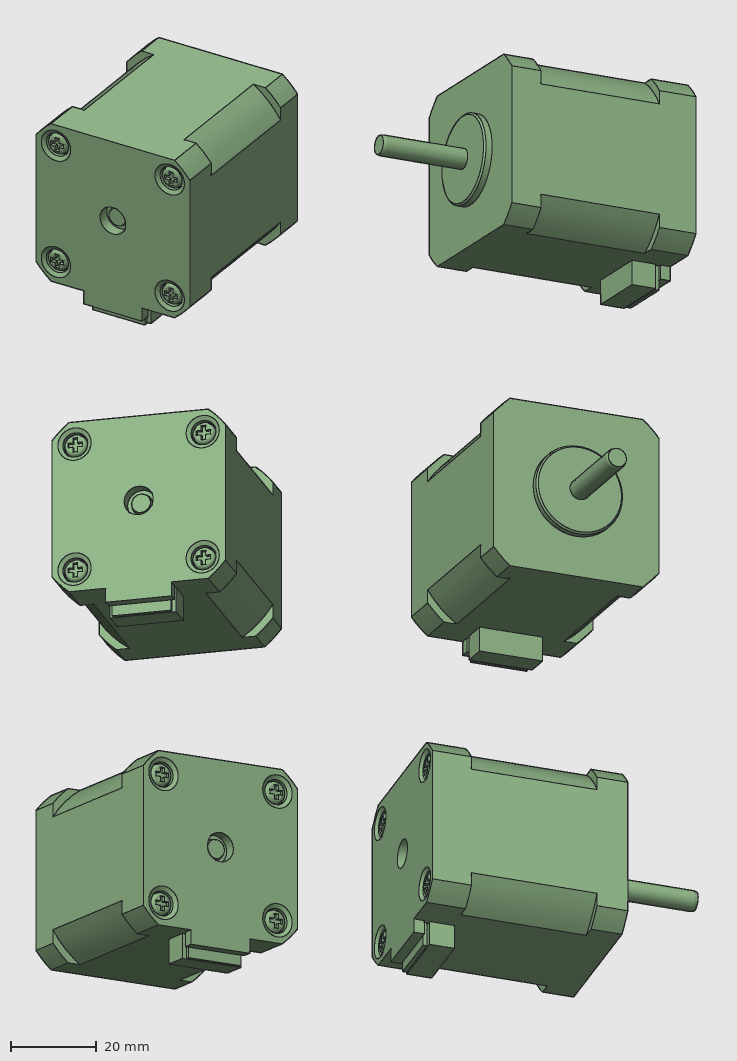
import cadquery as cq


body_width = 42.0
front_cap_length = 7.65
stator_length = 31.0
rear_cap_length = 9.6
body_length = front_cap_length + stator_length + rear_cap_length
cap_corner_diameter = 53.85
stator_corner_diameter = 50.0

boss_diameter = 22.0
boss_height = 2.0
boss_chamfer = 0.4

shaft_diameter = 5.0
shaft_reach = 24.0
shaft_tip_radial = 0.2
shaft_tip_axial = 0.9
shaft_end_depth = 2.0
rear_bore_diameter = 7.0
rear_bore_depth = 3.05

screw_spacing = 31.0
countersink_diameter = 8.0
recess_diameter = 6.0
recess_depth = 2.0
countersink_depth = 0.65
head_diameter = 5.5
head_height = 1.5
head_fillet = 1.0
cross_span = 3.5
cross_arm_width = 1.1
cross_depth = 1.0

connector_width = 16.0
connector_drop = 6.0
connector_root = 0.7
tab_drop = 3.5
tab_thickness = 2.6
plate_thickness = 0.95
plate_width = 14.25
connector_gap = 0.35
block_overhang = 0.4

rear_y = -body_length
stator_y = rear_y + rear_cap_length
body_bottom = -body_width / 2


def cylinder(diameter, y_start, y_end):
    """Cylinder about the Y axis between two Y positions."""
    return cq.Workplane("XZ", origin=(0, y_start, 0)).circle(diameter / 2).extrude(y_start - y_end)


def rounded_square(corner_diameter, y_start, length):
    """Square prism whose corners are trimmed by a coaxial cylinder."""
    prism = cq.Workplane("XY").box(body_width, length, body_width).translate((0, y_start + length / 2, 0))
    return prism.intersect(cylinder(corner_diameter, y_start, y_start + length))


def connector_slab(width, y_start, thickness, drop):
    """Slab hanging from the underside of the motor, rooted inside the motor body."""
    slab = cq.Workplane("XY").box(width, thickness, drop + connector_root)
    return slab.translate((0, y_start + thickness / 2, body_bottom + (connector_root - drop) / 2))


def make_rear_cap():
    """Rear cap with the connector tab, plate and block hanging below it."""
    plate_y = rear_y + tab_thickness
    block_y = plate_y + plate_thickness + connector_gap
    cap = rounded_square(cap_corner_diameter, rear_y, rear_cap_length)
    cap = cap.union(connector_slab(connector_width, rear_y, tab_thickness, tab_drop))
    cap = cap.union(connector_slab(plate_width, plate_y, plate_thickness, connector_drop))
    return cap.union(connector_slab(connector_width, block_y, stator_y - block_y, connector_drop))


def make_screw_recess():
    """Countersunk pocket in the rear face, centred on the Y axis."""
    mouth = cq.Workplane("XZ", origin=(0, rear_y, 0)).circle(countersink_diameter / 2)
    countersink = mouth.workplane(offset=-countersink_depth).circle(recess_diameter / 2).loft(ruled=True)
    return countersink.union(cylinder(recess_diameter, rear_y, rear_y + recess_depth))


def make_screw_head():
    """Domed screw head with a cross slot, standing on the recess floor."""
    floor_y = rear_y + recess_depth
    top_y = floor_y - head_height
    head = cylinder(head_diameter, top_y, floor_y).faces("<Y").edges().fillet(head_fillet)
    for width, height in [(cross_span, cross_arm_width), (cross_arm_width, cross_span)]:
        arm = cq.Workplane("XY").box(width, cross_depth, height)
        head = head.cut(arm.translate((0, top_y + cross_depth / 2, 0)))
    return head


def make_housing():
    housing = make_rear_cap()
    stator = rounded_square(stator_corner_diameter, stator_y, stator_length)
    overhang = connector_slab(connector_width, stator_y, block_overhang, connector_drop)
    front_cap = rounded_square(cap_corner_diameter, -front_cap_length, front_cap_length)
    boss = cylinder(boss_diameter, 0, boss_height).faces(">Y").chamfer(boss_chamfer)
    for part in (stator.union(overhang), front_cap.union(boss)):
        housing = housing.union(part, clean=False)

    recess = make_screw_recess()
    head = make_screw_head()
    for x in (-screw_spacing / 2, screw_spacing / 2):
        for z in (-screw_spacing / 2, screw_spacing / 2):
            housing = housing.cut(recess.translate((x, 0, z)), clean=False)
            housing = housing.union(head.translate((x, 0, z)), clean=False)

    rear_bore = cylinder(rear_bore_diameter, rear_y, rear_y + rear_bore_depth)
    shaft_bore = cylinder(shaft_diameter, rear_y, boss_height)
    return housing.cut(rear_bore, clean=False).cut(shaft_bore, clean=False)


def make_shaft():
    """Round shaft with a slim taper at both ends."""
    radius = shaft_diameter / 2
    tip_radius = radius - shaft_tip_radial
    start_y = rear_y + shaft_end_depth
    profile = (
        cq.Workplane("XY")
        .moveTo(0, start_y)
        .lineTo(tip_radius, start_y)
        .lineTo(radius, start_y + shaft_tip_axial)
        .lineTo(radius, shaft_reach - shaft_tip_axial)
        .lineTo(tip_radius, shaft_reach)
        .lineTo(0, shaft_reach)
        .close()
    )
    return profile.revolve(360, (0, 0, 0), (0, 1, 0))


housing = make_housing()
shaft = make_shaft()
result = cq.Compound.makeCompound([housing.val(), shaft.val()])